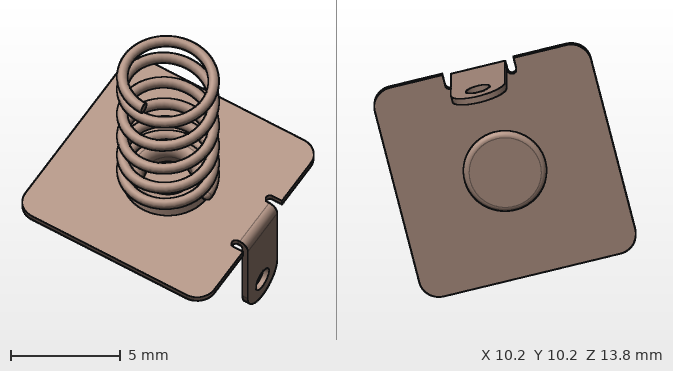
import cadquery as cq
import math

plate_side = 10.16
sheet = 0.30
corner_radius = 0.93
half_side = plate_side / 2

diagonal = math.sqrt(0.5)

tab_width = 2.54
tab_tip_radius = tab_width / 2
tab_drop = 5.46
tab_hole_diameter = 1.12
bend_inner_radius = sheet / 2
bend_outer_radius = bend_inner_radius + sheet

slot_width = 0.40
slot_depth = 0.72

seat_height = 0.60
seat_crest_radius = 1.60
seat_wall_angle = math.radians(62)
seat_outer_round = 0.30
seat_inner_round = 0.49
seat_floor_radius = seat_crest_radius - seat_inner_round
seat_bottom_depth = 0.555
seat_floor_depth = seat_bottom_depth - sheet
seat_underside_radius = 1.90
seat_underside_round = seat_bottom_depth - sheet

wire_diameter = 0.50
coil_radius = 2.085
coil_start_height = 0.26
points_per_turn = 16
pitch_steps = [(0.0, 0.00), (0.4, 1.00), (4.25, 2.07), (5.75, 0.16)]


def make_plate():
    plate = cq.Workplane("XY").box(plate_side, plate_side, sheet, centered=(True, True, False))
    plate = plate.translate((0, 0, -sheet)).edges("|Z").fillet(corner_radius)
    edge_strip = (
        cq.Workplane("XY", origin=(half_side, 0, -sheet))
        .rect(2 * bend_outer_radius, tab_width)
        .extrude(sheet)
    )
    plate = plate.cut(edge_strip)
    slot_offset = (tab_width + slot_width) / 2
    for side in (-1, 1):
        slot = (
            cq.Workplane("XY", origin=(half_side, side * slot_offset, -sheet))
            .slot2D(2 * slot_depth, slot_width)
            .extrude(sheet)
        )
        plate = plate.cut(slot)
    return plate


def make_tab():
    bend_start = half_side - bend_outer_radius
    inner_x = half_side - sheet
    tip_height = tab_tip_radius - tab_drop
    profile = (
        cq.Workplane("XZ", origin=(0, tab_width / 2, 0))
        .moveTo(bend_start, 0)
        .threePointArc(
            (bend_start + bend_outer_radius * diagonal, bend_outer_radius * (diagonal - 1)),
            (half_side, -bend_outer_radius),
        )
        .lineTo(half_side, tip_height)
        .lineTo(inner_x, tip_height)
        .lineTo(inner_x, -bend_outer_radius)
        .threePointArc(
            (bend_start + bend_inner_radius * diagonal, bend_inner_radius * diagonal - bend_outer_radius),
            (bend_start, -sheet),
        )
        .close()
    )
    tip_plane = cq.Workplane("YZ", origin=(inner_x, 0, tip_height))
    tip = tip_plane.circle(tab_tip_radius).extrude(sheet)
    hole = tip_plane.circle(tab_hole_diameter / 2).extrude(sheet)
    return profile.extrude(tab_width).union(tip).cut(hole)


def make_seat():
    """Ring with a conical outer wall, a rounded crest and a sunken flat floor."""
    round_end_radius = seat_crest_radius + seat_outer_round * math.sin(seat_wall_angle)
    round_end_height = seat_height - seat_outer_round * (1 - math.cos(seat_wall_angle))
    base_radius = round_end_radius + round_end_height / math.tan(seat_wall_angle)
    half_angle = seat_wall_angle / 2
    round_middle = (
        seat_crest_radius + seat_outer_round * math.sin(half_angle),
        seat_height - seat_outer_round * (1 - math.cos(half_angle)),
    )
    inner_middle = (
        seat_crest_radius - seat_inner_round * diagonal,
        seat_height - seat_inner_round * (1 - diagonal),
    )
    under_middle = (
        seat_underside_radius - seat_underside_round * (1 - diagonal),
        -sheet - seat_underside_round * diagonal,
    )
    profile = (
        cq.Workplane("XZ")
        .moveTo(0, -seat_floor_depth)
        .lineTo(seat_floor_radius, -seat_floor_depth)
        .lineTo(seat_floor_radius, seat_height - seat_inner_round)
        .threePointArc(inner_middle, (seat_crest_radius, seat_height))
        .threePointArc(round_middle, (round_end_radius, round_end_height))
        .lineTo(base_radius, 0)
        .lineTo(base_radius, -sheet)
        .lineTo(seat_underside_radius, -sheet)
        .threePointArc(under_middle, (seat_underside_radius - seat_underside_round, -seat_bottom_depth))
        .lineTo(0, -seat_bottom_depth)
        .close()
    )
    return profile.revolve(360, (0, 0, 0), (0, 1, 0))


def coil_height(turn):
    """Wire centre height: the running total of the pitch up to this turn."""
    height = coil_start_height
    for (turn_a, pitch_a), (turn_b, pitch_b) in zip(pitch_steps, pitch_steps[1:]):
        step = min(max(turn - turn_a, 0), turn_b - turn_a)
        slope = (pitch_b - pitch_a) / (turn_b - turn_a)
        height += pitch_a * step + slope * step**2 / 2
    return height


def coil_point(turn):
    angle = 2 * math.pi * turn
    return (coil_radius * math.cos(angle), coil_radius * math.sin(angle), coil_height(turn))


def make_spring():
    turns = pitch_steps[-1][0]
    count = round(turns * points_per_turn)
    path = cq.Workplane("XY").spline([coil_point(turns * i / count) for i in range(count + 1)])
    start = cq.Plane(origin=coil_point(0), xDir=(1, 0, 0), normal=(0, 1, 0))
    wire = cq.Workplane(start).circle(wire_diameter / 2).sweep(path, isFrenet=True)
    rounded_end = cq.Workplane("XY").sphere(wire_diameter / 2).translate(coil_point(0))
    return wire.union(rounded_end)


plate = make_plate()
seat = make_seat()
seat_opening = cq.Workplane("XY", origin=(0, 0, -sheet)).circle(seat_underside_radius).extrude(sheet)
result = plate.cut(seat_opening).union(make_tab()).union(seat).union(make_spring())